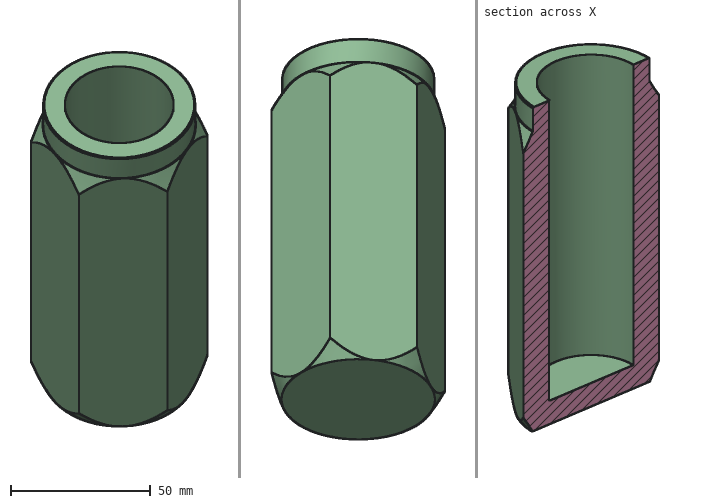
import cadquery as cq
import math

total_height = 135.0
across_flats = 55.0
collar_diameter = 54.5
collar_height = 10.0
collar_chamfer = 0.4
bore_diameter = 39.0
floor_thickness = 10.0
corner_chamfer_angle = 60.0

hex_height = total_height - collar_height
flat_radius = across_flats / 2
corner_radius = flat_radius / math.cos(math.radians(30))
chamfer_height = (corner_radius - flat_radius) * math.tan(math.radians(corner_chamfer_angle))


def hexagonal_body():
    """Hexagonal prism with its corners turned to a cone at both ends."""
    prism = (
        cq.Workplane("XY")
        .polygon(6, 2 * corner_radius)
        .extrude(hex_height)
        .rotate((0, 0, 0), (0, 0, 1), 30)
    )
    turned_blank = (
        cq.Workplane("XZ")
        .moveTo(0, 0)
        .lineTo(flat_radius, 0)
        .lineTo(corner_radius, chamfer_height)
        .lineTo(corner_radius, hex_height - chamfer_height)
        .lineTo(flat_radius, hex_height)
        .lineTo(0, hex_height)
        .close()
        .revolve(360, (0, 0, 0), (0, 1, 0))
    )
    return prism.intersect(turned_blank)


def collar():
    """Round collar on top of the body, with its upper edge broken."""
    return (
        cq.Workplane("XY", origin=(0, 0, hex_height))
        .circle(collar_diameter / 2)
        .extrude(collar_height)
        .faces(">Z")
        .edges()
        .chamfer(collar_chamfer)
    )


def blind_bore():
    """Bore open at the top and closed by a floor at the bottom."""
    return (
        cq.Workplane("XY", origin=(0, 0, floor_thickness))
        .circle(bore_diameter / 2)
        .extrude(total_height - floor_thickness)
    )


result = hexagonal_body().union(collar()).cut(blind_bore())